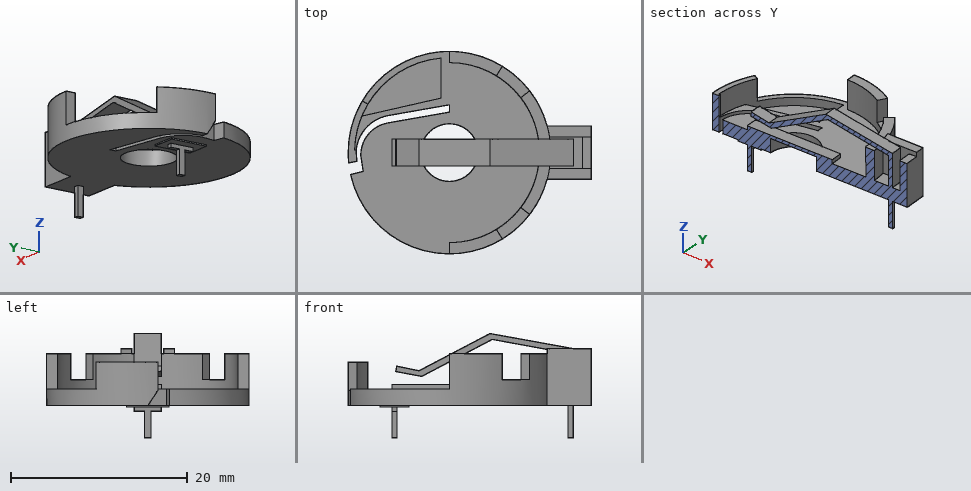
import cadquery as cq
import math

overall_length = 27.5
disc_diameter = 22.9
disc_radius = disc_diameter / 2
floor_height = 1.9
hole_diameter = 6.5

cut_overshoot = 0.28

rim_inner_radius = 10.18
rim_top = 5.88
notch_floor = 2.95
notch_start_angle = 37.6
notch_end_angle = 58.5

clip_inner_radius = 10.72
clip_tip_inner_radius = 10.3
clip_top = 4.92
clip_start_angle = 149.3
clip_tip_start_angle = 178.5
clip_end_angle = 186.0
clip_taper_height = 1.82
clip_taper_length = 1.2
clip_taper_depth = 1.1
pocket_floor = 0.8
pocket_right = -0.95
pocket_lower_right_y = 6.15
pocket_left_y = 4.12
pocket_arc_middle_angle = 125.0

housing_end = overall_length - disc_radius
housing_width = 6.05
housing_top = 6.45
channel_width = 3.58
channel_end = 15.02

contact_width = 3.05
pin_width = 0.77
pin_thickness = 0.6
pin_bottom = -3.63
strip_start = -6.52
strip_end = 5.5
strip_top = 2.42
tab_bottom = -0.63
pad_length = 3.3
pad_width = 4.8
pad_thickness = 0.16
spring_leg_end = 14.0
spring_peak = 8.17


def box(x_start, x_end, width, z_start, z_end):
    """Box centred on Y = 0."""
    length = x_end - x_start
    height = z_end - z_start
    block = cq.Workplane("XY").box(length, width, height, centered=(False, True, False))
    return block.translate((x_start, 0, z_start))


def polar(radius, angle):
    radians = math.radians(angle)
    return radius * math.cos(radians), radius * math.sin(radians)


def ring_sector(inner_radius, outer_radius, start_angle, end_angle, bottom, top):
    middle_angle = (start_angle + end_angle) / 2
    return (
        cq.Workplane("XY", origin=(0, 0, bottom))
        .moveTo(*polar(inner_radius, start_angle))
        .lineTo(*polar(outer_radius, start_angle))
        .threePointArc(polar(outer_radius, middle_angle), polar(outer_radius, end_angle))
        .lineTo(*polar(inner_radius, end_angle))
        .threePointArc(polar(inner_radius, middle_angle), polar(inner_radius, start_angle))
        .close()
        .extrude(top - bottom)
    )


def make_rim():
    rim = ring_sector(rim_inner_radius, disc_radius, -90, 90, 0, rim_top)
    for start, end in (
        (notch_start_angle, notch_end_angle),
        (-notch_end_angle, -notch_start_angle),
    ):
        inner = rim_inner_radius - cut_overshoot
        outer = disc_radius + cut_overshoot
        rim = rim.cut(ring_sector(inner, outer, start, end, notch_floor, rim_top))
    return rim


def make_clip_slot():
    """Curved slot that frees the clip from the disc and opens at its edge."""
    return (
        cq.Workplane("XY")
        .moveTo(0, 4.6)
        .lineTo(0, 5.4)
        .lineTo(-6.9, 4.18)
        .threePointArc((-9.43, 2.78), (-10.53, 0.28))
        .lineTo(-10.45, -1.0)
        .lineTo(-11.82, -1.26)
        .lineTo(-11.82, -2.6)
        .lineTo(-9.75, -2.12)
        .lineTo(-10.05, -0.28)
        .threePointArc((-9.2, 2.04), (-7.05, 3.35))
        .close()
        .extrude(clip_top)
    )


def make_pocket():
    right_top = math.sqrt(clip_inner_radius**2 - pocket_right**2)
    left_x = -math.sqrt(clip_inner_radius**2 - pocket_left_y**2)
    return (
        cq.Workplane("XY", origin=(0, 0, pocket_floor))
        .moveTo(pocket_right, right_top)
        .lineTo(pocket_right, pocket_lower_right_y)
        .lineTo(left_x, pocket_left_y)
        .threePointArc(polar(clip_inner_radius, pocket_arc_middle_angle), (pocket_right, right_top))
        .close()
        .extrude(floor_height - pocket_floor)
    )


def make_clip_taper():
    """Wedge removed from the lower outside of the clip's free end."""
    return (
        cq.Workplane("YZ", origin=(-disc_radius - cut_overshoot, 0, 0))
        .polyline([(0, 0), (-clip_taper_length, clip_taper_height), (-clip_taper_length, 0)])
        .close()
        .extrude(clip_taper_depth + cut_overshoot)
    )


def make_holder():
    holder = cq.Workplane("XY").circle(disc_radius).extrude(floor_height)
    holder = holder.cut(make_pocket())
    holder = holder.union(make_rim())
    holder = holder.union(
        ring_sector(clip_inner_radius, disc_radius, clip_start_angle, clip_end_angle, pocket_floor, clip_top)
    )
    holder = holder.union(
        ring_sector(
            clip_tip_inner_radius, disc_radius, clip_tip_start_angle, clip_end_angle, pocket_floor, clip_top
        )
    )
    holder = holder.cut(make_clip_slot()).cut(make_clip_taper())
    return holder.cut(cq.Workplane("XY").circle(hole_diameter / 2).extrude(floor_height))


def make_housing():
    """Two side arms and a lower back wall around a channel, fitted to the round rim."""
    housing = box(rim_inner_radius, housing_end, housing_width, 0, housing_top)
    channel = box(rim_inner_radius, channel_end, channel_width, floor_height, housing_top)
    back_relief = box(channel_end, housing_end, channel_width, rim_top, housing_top)
    rim_envelope = cq.Workplane("XY").circle(disc_radius).extrude(housing_top)
    return housing.cut(channel).cut(back_relief).cut(rim_envelope)


def make_lower_contact():
    strip = box(strip_start, strip_end, contact_width, floor_height, strip_top)
    tab = box(strip_start, strip_start + pin_thickness, contact_width, tab_bottom, strip_top)
    pin = box(strip_start, strip_start + pin_thickness, pin_width, pin_bottom, tab_bottom)
    pad_centre = strip_start + pin_thickness / 2
    pad = box(pad_centre - pad_length / 2, pad_centre + pad_length / 2, pad_width, -pad_thickness, 0)
    return strip.union(tab).union(pin).union(pad)


def make_spring():
    profile = [
        (-5.97, 4.48),
        (-3.45, 3.95),
        (4.6, spring_peak),
        (spring_leg_end, housing_top),
        (spring_leg_end, 0),
        (spring_leg_end - pin_thickness, 0),
        (spring_leg_end - pin_thickness, 5.9),
        (4.85, 7.48),
        (-3.14, 3.3),
        (-6.08, 3.85),
    ]
    blade = cq.Workplane("XZ").polyline(profile).close().extrude(contact_width / 2, both=True)
    pin = box(spring_leg_end - pin_thickness, spring_leg_end, pin_width, pin_bottom, 0)
    return blade.union(pin)


result = make_holder().union(make_housing()).union(make_lower_contact()).union(make_spring())